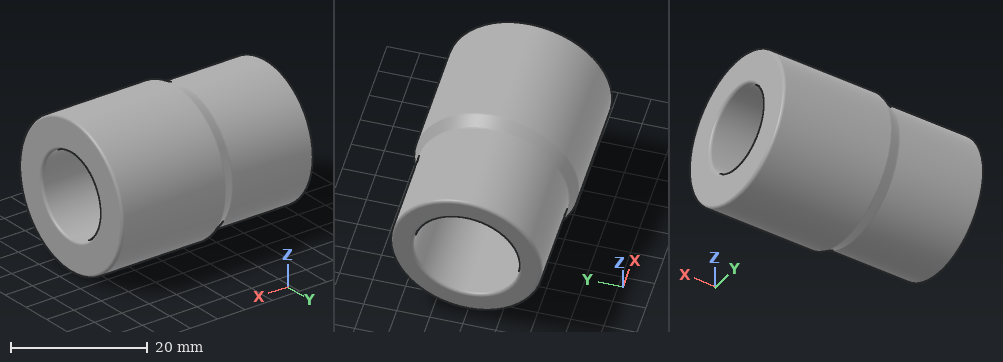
import cadquery as cq

length = 36.0
small_diameter = 23.0
large_diameter = 25.0
bore_diameter = 16.0
throat_diameter = 14.0

taper_start = 15.0
taper_end = 17.0
bore_depth = taper_start

end_radius = 0.5
taper_radius = end_radius

pick_margin = 0.35


def cylinder(diameter, start, end):
    """Solid cylinder on the X axis between two axial positions."""
    return cq.Workplane("YZ").workplane(offset=start).circle(diameter / 2).extrude(end - start)


def outer_body():
    """Small barrel, conical step and large barrel as one revolved body."""
    small_radius = small_diameter / 2
    large_radius = large_diameter / 2
    body = (
        cq.Workplane("XY")
        .moveTo(0, 0)
        .lineTo(0, small_radius)
        .lineTo(taper_start, small_radius)
        .lineTo(taper_end, large_radius)
        .lineTo(length, large_radius)
        .lineTo(length, 0)
        .close()
        .revolve(360, (0, 0, 0), (1, 0, 0))
    )
    taper_edges = cq.selectors.BoxSelector(
        (taper_start - pick_margin, -large_diameter, -large_diameter),
        (taper_end + pick_margin, large_diameter, large_diameter),
    )
    return body.edges("%CIRCLE").edges(taper_edges).fillet(taper_radius)


sleeve = outer_body()
sleeve = sleeve.cut(cylinder(throat_diameter, 0, length))
sleeve = sleeve.cut(cylinder(bore_diameter, 0, bore_depth))

result = sleeve.faces("<X or >X").edges().fillet(end_radius)